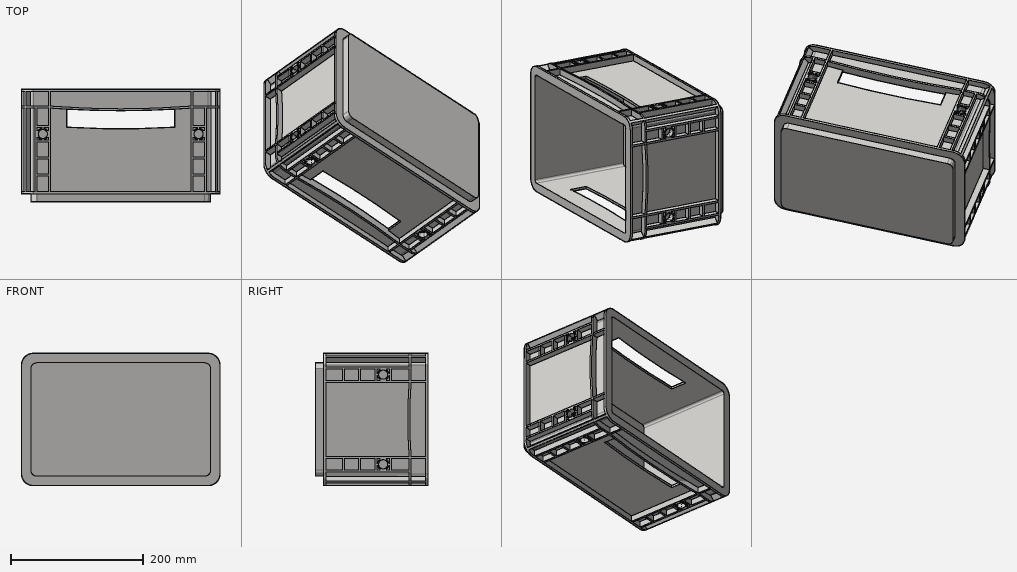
import cadquery as cq


length = 300.0
width = 200.0
height = 170.0
foot_height = 12.0
body_height = height - foot_height
corner_radius = 18.0

recess = 10.0
wall = 4.0
base_thickness = 4.0
shell_radius = corner_radius - recess
cavity_inset = recess + wall
cavity_radius = shell_radius - wall

foot_inset = 14.5
foot_radius = 9.0

flange = 4.0
rib = 3.0
ring_depth = 25.5
ring_bottom = ring_depth + rib
long_sag = 4.2
short_sag = 2.5

strip_outer_rib = 22.2
strip_inner_rib = 42.5
strip_width = strip_inner_rib - strip_outer_rib
strip_middle = (strip_outer_rib + strip_inner_rib) / 2

tube_rib_above = 56.7
tube_rib_below = 78.5
pitch_ribs = 2
long_wall_pitch = 25.5
short_wall_pitch = 24.5

tube_depth = 67.8
tube_radius = 8.7
tube_hole_radius = 7.0
tube_spoke = 3.0
tube_side_web = 10.2

corner_rib = 4.2

handle_width = 162.5
handle_height = 27.0

signs = (-1, 1)


def rounded_block(inset, radius, top, block_height):
    """Block with rounded edges along Y, inset from the outer sides, starting at depth top."""
    return (
        cq.Workplane("XZ", origin=(0, -top, 0))
        .rect(length - 2 * inset, width - 2 * inset)
        .extrude(block_height)
        .edges("|Y")
        .fillet(radius)
    )


def bar(across, top, bottom, span, center=0):
    """Bar running through the crate along Z, between two depths."""
    return cq.Workplane("XY").box(across, bottom - top, span).translate((center, -(top + bottom) / 2, 0))


def bowed_strip(half_span, top, thickness, sag, span):
    """Strip running through the crate along Z that bows toward the foot at its middle."""
    bottom = top + thickness
    return (
        cq.Workplane("XY", origin=(0, 0, -span / 2))
        .moveTo(-half_span, -top)
        .threePointArc((0, -top - sag), (half_span, -top))
        .lineTo(half_span, -bottom)
        .threePointArc((0, -bottom - sag), (-half_span, -bottom))
        .close()
        .extrude(span)
    )


def cylinder(radius, center, start, span):
    """Cylinder along Z at the tube depth."""
    return cq.Workplane("XY", origin=(center, -tube_depth, start)).circle(radius).extrude(span)


def wall_pair(across, span, sag, pitch):
    """Ribs, ring and tubes of the two walls facing +Z and -Z, running through from one to the other."""
    inner_rib = across / 2 - strip_inner_rib
    outer_rib = across / 2 - strip_outer_rib
    middle = across / 2 - strip_middle
    cross_ribs = [tube_rib_above, tube_rib_below]
    cross_ribs += [tube_rib_below + step * pitch for step in range(1, pitch_ribs + 1)]

    ribs = bowed_strip(inner_rib, ring_depth, rib, sag, span)
    for side in signs:
        ribs = ribs.union(bar(rib, 0, body_height, span, side * inner_rib))
        ribs = ribs.union(bar(rib, ring_depth, body_height, span, side * outer_rib))
        for depth in cross_ribs:
            ribs = ribs.union(bar(strip_width, depth - rib / 2, depth + rib / 2, span, side * middle))
        tube = cylinder(tube_radius, side * middle, -span / 2, span)
        spoke = bar(tube_spoke, tube_rib_above, tube_rib_below, span, side * middle)
        web_top = tube_depth - tube_side_web / 2
        web = bar(strip_width, web_top, web_top + tube_side_web, span, side * middle)
        ribs = ribs.union(tube).union(spoke).union(web)
    for side in signs:
        for face in signs:
            hole = cylinder(tube_hole_radius, side * middle, face * span / 2, -face * recess)
            ribs = ribs.cut(hole)
    return ribs


def corner_ribs():
    """Diagonal rib along each corner, and the straight ring piece around it."""
    ribs = cq.Workplane("XY")
    for side in signs:
        for face in signs:
            diagonal = (
                bar(corner_rib, 0, body_height, 2 * corner_radius)
                .rotate((0, 0, 0), (0, 1, 0), side * face * 45)
                .translate((side * (length / 2 - corner_radius), 0, face * (width / 2 - corner_radius)))
            )
            ring_piece = bar(
                strip_inner_rib, ring_depth, ring_bottom, strip_inner_rib, side * (length - strip_inner_rib) / 2
            ).translate((0, 0, face * (width - strip_inner_rib) / 2))
            ribs = ribs.union(diagonal).union(ring_piece)
    return ribs


outer = rounded_block(0, corner_radius, 0, body_height)
long_walls = wall_pair(length, width, long_sag, long_wall_pitch)
short_walls = wall_pair(width, length, short_sag, short_wall_pitch).rotate((0, 0, 0), (0, 1, 0), 90)
ribs = long_walls.union(short_walls).union(corner_ribs()).intersect(outer)
shell = rounded_block(recess, shell_radius, 0, body_height)
crate = shell.union(ribs)
crate = crate.union(rounded_block(0, corner_radius, 0, flange))
crate = crate.union(rounded_block(0, corner_radius, body_height - flange, flange))
crate = crate.union(rounded_block(foot_inset, foot_radius, body_height, foot_height))

crate = crate.cut(rounded_block(cavity_inset, cavity_radius, 0, body_height - base_thickness))

handle = bowed_strip(length / 2 - strip_inner_rib, ring_bottom, handle_height, long_sag, width)
crate = crate.cut(handle.intersect(bar(handle_width, 0, body_height, width)))

result = crate.translate((0, height / 2, 0))